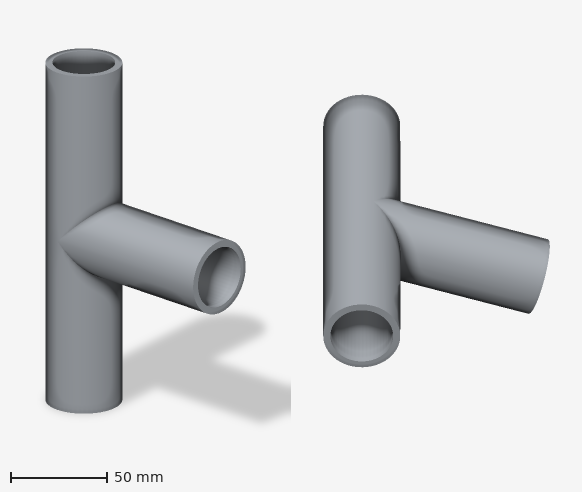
import cadquery as cq

outer_diameter = 40.0
wall_thickness = 3.7
run_length = 188.0
branch_reach = 96.0

bore_diameter = outer_diameter - 2 * wall_thickness


def tee_volume(diameter):
    """Solid run and branch cylinders of one diameter, joined at the origin."""
    run = cq.Workplane("XY").circle(diameter / 2).extrude(run_length / 2, both=True)
    branch = cq.Workplane("YZ").circle(diameter / 2).extrude(branch_reach)
    return run.union(branch)


result = tee_volume(outer_diameter).cut(tee_volume(bore_diameter))